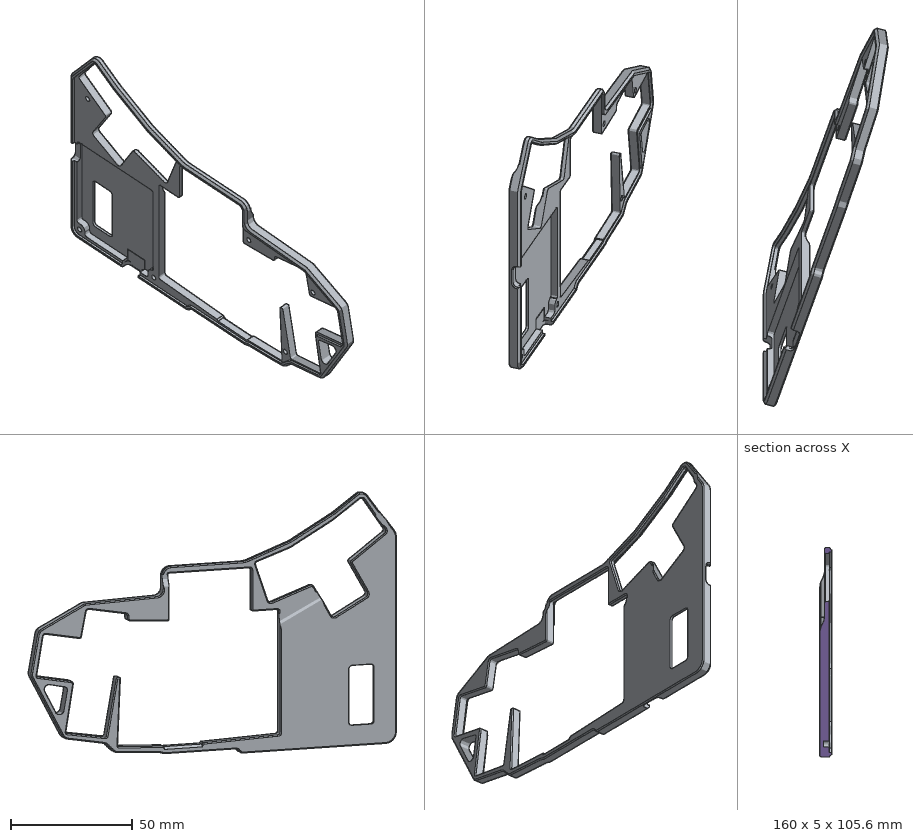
import cadquery as cq
import math

thickness = 5.0
front_chamfer = 0.99
back_chamfer = 0.5
rim_width = 1.9
ledge_depth = 0.99
pocket_depth = 3.8
screw_diameter = 2.2
screw_depth = 2.4

port_width = 9.9
side_port_depth = 3.0
side_port_radius = 1.9
side_port_z = 46.4
side_port_chamfer = back_chamfer
bottom_port_depth = 4.0
bottom_port_radius = 1.6
bottom_port_x = 34.9
port_seat_top = 8.0

relief_depth = 1.9
ramp_width = 6.9

sill_left = 85.1
sill_right = 101.8
sill_z = 4.8
sill_bevel = 2 * back_chamfer

pocket_left = 3.5
pocket_right = 47.5
pocket_bottom = 3.4
pocket_top = 53.1
left_boss_right = 8.0
left_boss_top = 8.2
right_boss_left = 44.5
right_boss_top = 8.8
boss_radius = 2.5

step_corner = (102.0, 68.2)
step_radius = 3.0


def frame_corners(step_corner_radius):
    return [
        (0, 0, 4.8), (68.0, 0, 1.6), (69.9, 1.9, 1.6), (101.6, 1.9, 1.6), (103.8, 2.5, 1.6),
        (123.5, 3.8, 3.2), (127.5, 7.8, 2.4), (145.6, 11.0, 3.2), (160.1, 38.4, 3.0), (156.8, 57.0, 3.5),
        (136.5, 67.0, 2.4), (*step_corner, step_corner_radius), (102.0, 80, 4.0), (65.8, 80, 8),
        (45.9, 87.2, 8), (26.7, 97.9, 8), (14.0, 106.9, 3.4), (0, 88, 5.1),
    ]


thumb_opening = [
    (14.4, 103.7, 1.3), (4.2, 89.0, 1.3), (20.3, 77.3, 0.8), (12.0, 62.7, 1.5), (28.0, 54.0, 1.5),
    (36.0, 68.5, 1.5), (55.2, 61.8, 1.5), (61.3, 79.2, 0.8), (45.8, 84.5, 6.4), (27.5, 94.5, 6.4),
]
main_opening = [
    (62.9, 77.1, 1.0), (99.5, 77.1, 0.6), (99.5, 57.5, 1.0), (117.6, 58.7, 1.0), (117.9, 61.6, 1.1),
    (135.7, 64.8, 1.1), (138.0, 52.5, 1.0), (154.5, 55.5, 1.0), (157.6, 37.8, 0.6), (141.3, 34.7, 1.3),
    (144.8, 13.3, 0.6), (127.0, 10.4, 0.6), (122.5, 35.2, 0.6), (120.8, 35.2, 0.6), (122.0, 6.2, 0.6),
    (102.0, 5.1, 0), (sill_right, sill_z, 0), (sill_left, sill_z, 0), (84.5, 5.5, 0),
    (50.9, 6.7, 1.0), (50.9, 58.9, 1.0), (62.9, 58.9, 1.0),
]
end_opening = [(144, 32.5, 1.3), (156.0, 35.0, 1.9), (146.7, 17.5, 1.9)]
end_pad = [(142.4, 33.8, 0.6), (161.6, 37.5, 0), (161.6, 8, 0), (146.4, 8, 0)]
window = [(9.9, 8.6, 1.5), (21.0, 8.6, 1.5), (21.0, 33.8, 1.5), (9.9, 33.8, 1.5)]
pocket = [
    (pocket_left, left_boss_top, 1.0), (left_boss_right, left_boss_top, boss_radius),
    (left_boss_right, pocket_bottom, 1.3), (right_boss_left, pocket_bottom, 1.3),
    (right_boss_left, right_boss_top, boss_radius), (pocket_right, right_boss_top, 1.0),
    (pocket_right, pocket_top, 1.3), (pocket_left, pocket_top, 1.3),
]
screw_points = [(9.6, 80.3), (5.0, 5.0), (47.8, 5.5), (102.9, 61.0), (140.0, 55.4), (124.0, 12.3)]

thumb_ramp = ((-4.8, 97.0), (23.2, 76.8))
palm_ramp = ((24.3, 62.7), (52.0, 49.0))
finger_ramp = ((72, 69.9), (112, 69.9))
relief_inner_corner = (64, 52.8)
relief_outer_corners = [(112, 112), (-8, 112)]


def outline(corners):
    """Closed XZ outline with each corner rounded to its own radius."""
    path = cq.Workplane("XZ")
    for i, (x, z, radius) in enumerate(corners):
        corner = cq.Vector(x, z)
        before = (cq.Vector(*corners[i - 1][:2]) - corner).normalized()
        after = (cq.Vector(*corners[(i + 1) % len(corners)][:2]) - corner).normalized()
        half_angle = before.getAngle(after) / 2
        setback = radius / math.tan(half_angle)
        start = corner + before * setback
        path = path.moveTo(start.x, start.y) if i == 0 else path.lineTo(start.x, start.y)
        if radius > 0:
            end = corner + after * setback
            middle = corner + (before + after).normalized() * (radius / math.sin(half_angle) - radius)
            path = path.threePointArc((middle.x, middle.y), (end.x, end.y))
    return path.close()


def slab(corners, depth):
    """Plate from the front face back to the given depth."""
    return outline(corners).extrude(-depth)


def open_frame(depth):
    """Outer body with its two large openings, bevelled front and back."""
    frame = slab(frame_corners(step_radius), depth).faces("<Y").chamfer(front_chamfer)
    frame = frame.cut(slab(thumb_opening, depth)).cut(slab(main_opening, depth))
    return frame.faces(">Y").edges().chamfer(back_chamfer)


def rise_direction(foot_line):
    (x0, z0), (x1, z1) = foot_line
    return cq.Vector(z0 - z1, 0, x1 - x0).normalized()


def ramp_top(foot_line):
    shift = rise_direction(foot_line) * ramp_width
    return [(x + shift.x, z + shift.z) for x, z in foot_line]


def ramp_cutter(foot_line):
    """S-shaped step of two equal tangent arcs, run straight along its foot line."""
    (x0, z0), (x1, z1) = foot_line
    rise = rise_direction(foot_line)
    plane = cq.Plane(origin=(x0, thickness, z0), xDir=rise, normal=rise.cross(cq.Vector(0, -1, 0)))
    length = cq.Vector(x1 - x0, 0, z1 - z0).dot(plane.zDir)
    radius = (ramp_width**2 + relief_depth**2) / (4 * relief_depth)
    half_angle = math.atan(relief_depth / ramp_width)
    bow_x = radius * math.sin(half_angle)
    bow_y = radius * (1 - math.cos(half_angle))
    lower_bow = (bow_x, bow_y)
    upper_bow = (ramp_width - bow_x, relief_depth - bow_y)
    middle = (ramp_width / 2, relief_depth / 2)
    top = (ramp_width, relief_depth)
    profile = cq.Workplane(plane).threePointArc(lower_bow, middle).threePointArc(upper_bow, top)
    return profile.lineTo(ramp_width, 0).close().extrude(length)


def port_slot(depth, radius, length):
    """Slot open at the front with rounded floor corners, running along +Z from Z = 0."""
    block = cq.Workplane("XY").center(0, depth / 2).rect(port_width, depth).extrude(length)
    return block.faces(">Y").edges("|Z").fillet(radius)


result = open_frame(thickness)
for foot_line in (thumb_ramp, palm_ramp, finger_ramp):
    result = result.cut(ramp_cutter(foot_line))

relief_points = ramp_top(thumb_ramp) + ramp_top(palm_ramp) + [relief_inner_corner]
relief_points += ramp_top(finger_ramp) + relief_outer_corners
relief_area = cq.Workplane("XZ").polyline(relief_points).close().extrude(-thickness)
thin_frame = open_frame(thickness - relief_depth)
result = result.cut(relief_area).union(thin_frame.intersect(relief_area))

bevel = (
    cq.Workplane("YZ", origin=(sill_left, 0, 0))
    .moveTo(thickness, sill_z)
    .lineTo(thickness - sill_bevel, sill_z)
    .lineTo(thickness, sill_z - sill_bevel)
    .close()
    .extrude(sill_right - sill_left)
)
result = result.cut(bevel)

ledge = outline(frame_corners(0)).offset2D(-rim_width).extrude(-ledge_depth)
result = result.cut(ledge.cut(slab(end_pad, ledge_depth)))
result = result.cut(slab(end_opening, thickness))

side_slot = (
    port_slot(side_port_depth, side_port_radius, pocket_left)
    .rotate((0, 0, 0), (0, 1, 0), 90)
    .translate((0, 0, side_port_z))
)
result = result.cut(side_slot)
tolerance = 0.02
slot_mouth = cq.selectors.BoxSelector(
    (-tolerance, front_chamfer - tolerance, side_port_z - port_width / 2 - tolerance),
    (tolerance, side_port_depth + tolerance, side_port_z + port_width / 2 + tolerance),
)
result = result.edges(slot_mouth).chamfer(side_port_chamfer)

result = result.cut(slab(pocket, pocket_depth)).cut(slab(window, thickness))
bottom_slot = port_slot(bottom_port_depth, bottom_port_radius, rim_width).translate((bottom_port_x, 0, 0))
seat_height = port_seat_top - rim_width
seat = (
    cq.Workplane("XY")
    .box(port_width, bottom_port_depth, seat_height, centered=(True, False, False))
    .translate((bottom_port_x, 0, rim_width))
)
result = result.cut(bottom_slot).cut(seat)

screw_bottom = ledge_depth + screw_depth
screws = cq.Workplane("XZ").pushPoints(screw_points).circle(screw_diameter / 2).extrude(-screw_bottom)
result = result.cut(screws)